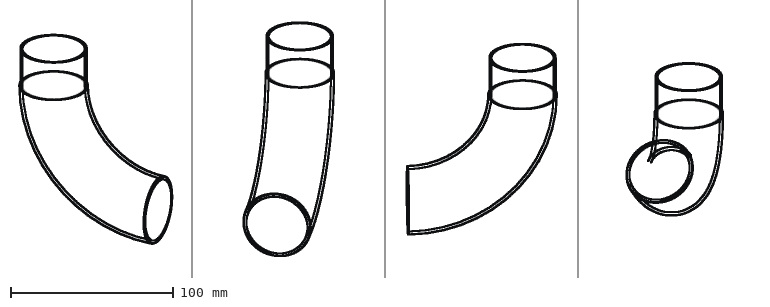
import cadquery as cq

pipe_diameter = 42.4
bore_diameter = 38.4
bend_radius = 70.8

spigot_diameter = 41.0
spigot_length = 25.0

rim_chamfer = 0.4


def quarter_bend(diameter):
    """Solid bend from the origin, turning from straight down to +X."""
    path = cq.Workplane("XZ").radiusArc((bend_radius, -bend_radius), -bend_radius)
    return cq.Workplane("XY").circle(diameter / 2).sweep(path)


def upright_cylinder(diameter):
    """Solid cylinder rising from the upper end of the bend."""
    return cq.Workplane("XY").circle(diameter / 2).extrude(spigot_length)


bend = quarter_bend(pipe_diameter).faces(">X").edges().chamfer(rim_chamfer)
outside = bend.union(upright_cylinder(spigot_diameter))

result = outside.cut(quarter_bend(bore_diameter)).cut(upright_cylinder(bore_diameter))